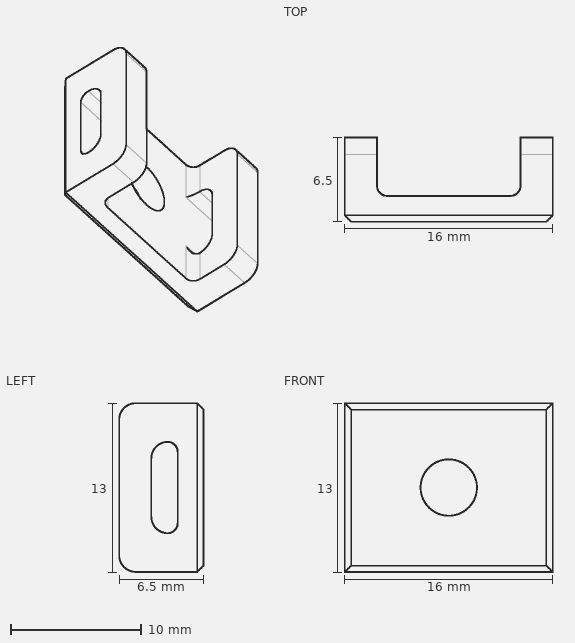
import cadquery as cq

width = 16.0
depth = 6.5
height = 13.0

plate_thickness = 2.0
arm_thickness = 2.5
inner_corner_radius = 0.75
arm_corner_radius = 1.3
front_chamfer = 0.5
hole_diameter = 4.32

slot_height = 7.0
slot_back_margin = 2.5
slot_front_radius = 0.75

slot_depth = depth - plate_thickness - slot_back_margin
slot_back_radius = slot_depth - slot_front_radius
plate_inner_y = plate_thickness - depth / 2


def make_body():
    """Block with a chamfered front face and rounded rear arm corners."""
    block = cq.Workplane("XY").box(width, depth, height)
    block = block.faces("<Y").edges().chamfer(front_chamfer)
    return block.faces(">Y").edges("|X").fillet(arm_corner_radius)


def make_channel():
    """Rear channel between the arms, rounded where it meets the plate."""
    channel_depth = depth - plate_thickness
    channel = cq.Workplane("XY").box(width - 2 * arm_thickness, channel_depth, height)
    channel = channel.edges("|Z and <Y").fillet(inner_corner_radius)
    return channel.translate((0, plate_inner_y + channel_depth / 2, 0))


def make_slots():
    """Bar crossing both arms; each end is two quarter arcs, the larger one to the rear."""
    half_height = slot_height / 2
    front_y = plate_inner_y
    back_y = front_y + slot_depth
    tip_y = front_y + slot_front_radius
    front_straight = half_height - slot_front_radius
    back_straight = half_height - slot_back_radius
    profile = (
        cq.Workplane("YZ")
        .moveTo(front_y, -front_straight)
        .lineTo(front_y, front_straight)
        .tangentArcPoint((tip_y, half_height), relative=False)
        .tangentArcPoint((back_y, back_straight), relative=False)
        .lineTo(back_y, -back_straight)
        .tangentArcPoint((tip_y, -half_height), relative=False)
        .tangentArcPoint((front_y, -front_straight), relative=False)
        .close()
    )
    return profile.extrude(width, both=True)


def make_hole():
    """Round hole through the middle of the plate."""
    return cq.Workplane("XZ").circle(hole_diameter / 2).extrude(depth, both=True)


result = make_body().cut(make_channel()).cut(make_slots()).cut(make_hole())